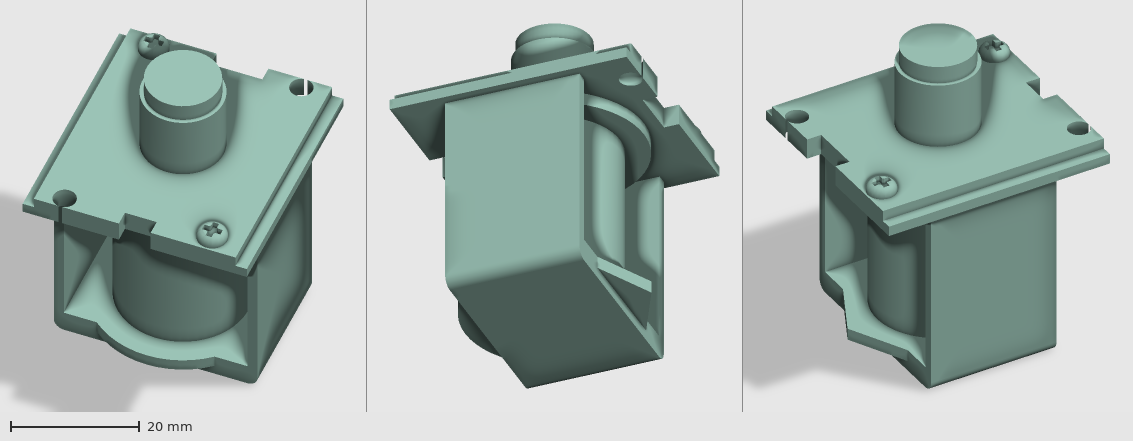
import cadquery as cq
import math

plate_length_x = 37.55
plate_length_y = 39.85
upper_length_x = 33.85
plate_bottom = 33.2
ledge_top = 34.95
plate_top = 36.8

notch_depth = 2.5
front_notch_width = 5.35
rear_notch_width = 8.65
rear_notch_x = 1.9
hole_radius = 1.9
hole_x = 12.5
hole_y = 18.05

bracket_length_x = 34.15
bracket_length_y = 22.6
wall_thickness = 1.7
floor_top = 3.8
corner_radius = 1.75

tongue_bottom = 1.75
rear_tip_y = 16.3

flange_radius = 15.0
flange_bottom = 31.15
body_radius = 10.95
stem_radius = 6.75
stem_top = 48.25
cap_radius = 6.1
overall_height = 51.25

screw_x = 11.9
screw_y = 17.15
head_radius = 2.45
head_height = 1.7
head_rim_height = 0.25
head_flat_radius = 1.45
recess_length = 3.1
recess_width = 1.0
recess_core = 1.75
recess_depth = 1.15


def block(length_x, length_y, bottom, top, x=0, y=0):
    """Box centred on (x, y) between two heights."""
    box = cq.Workplane("XY").box(length_x, length_y, top - bottom, centered=(True, True, False))
    return box.translate((x, y, bottom))


def cylinder(radius, bottom, top, x=0, y=0):
    """Vertical cylinder between two heights."""
    return cq.Workplane("XY").circle(radius).extrude(top - bottom).translate((x, y, bottom))


def make_plate():
    plate = block(plate_length_x, plate_length_y, plate_bottom, ledge_top)
    plate = plate.union(block(upper_length_x, plate_length_y, ledge_top, plate_top))
    edge_y = plate_length_y / 2
    for width, x, y in (
        (front_notch_width, 0, -edge_y),
        (rear_notch_width, rear_notch_x, edge_y),
    ):
        plate = plate.cut(block(width, 2 * notch_depth, plate_bottom, plate_top, x, y))
    for side in (-1, 1):
        plate = plate.cut(cylinder(hole_radius, plate_bottom, plate_top, side * hole_x, side * hole_y))
    return plate


def make_bracket():
    outer = block(bracket_length_x, bracket_length_y, 0, plate_bottom)
    outer = outer.edges("|Y and <Z").fillet(corner_radius)
    inner_length = bracket_length_x - 2 * wall_thickness
    return outer.cut(block(inner_length, bracket_length_y, floor_top, plate_bottom))


def make_tongues():
    """Rounded tongue at the front of the floor and a pointed one at the rear."""
    edge_y = bracket_length_y / 2
    half_chord = math.sqrt(flange_radius**2 - edge_y**2)
    outline = (
        cq.Workplane("XY", origin=(0, 0, tongue_bottom))
        .moveTo(-half_chord, -edge_y)
        .threePointArc((0, -flange_radius), (half_chord, -edge_y))
        .lineTo(half_chord, edge_y)
        .lineTo(0, rear_tip_y)
        .lineTo(-half_chord, edge_y)
        .close()
    )
    return outline.extrude(floor_top - tongue_bottom)


def make_core():
    core = cylinder(body_radius, floor_top, flange_bottom)
    core = core.union(cylinder(flange_radius, flange_bottom, plate_bottom))
    core = core.union(cylinder(stem_radius, plate_top, stem_top))
    return core.union(cylinder(cap_radius, stem_top, overall_height))


def make_screw_head():
    """Domed head standing on Z = 0 with a cross recess in its top."""
    dome_rise = head_height - head_rim_height
    dome_run = head_radius - head_flat_radius
    middle = math.sqrt(0.5)
    head = (
        cq.Workplane("XZ")
        .lineTo(head_radius, 0)
        .lineTo(head_radius, head_rim_height)
        .threePointArc(
            (head_flat_radius + dome_run * middle, head_rim_height + dome_rise * middle),
            (head_flat_radius, head_height),
        )
        .lineTo(0, head_height)
        .close()
        .revolve(360, (0, 0, 0), (0, 1, 0))
    )
    recess_floor = head_height - recess_depth
    recess = block(recess_length, recess_width, recess_floor, head_height)
    recess = recess.union(block(recess_width, recess_length, recess_floor, head_height))
    core = block(recess_core, recess_core, recess_floor, head_height)
    recess = recess.union(core.rotate((0, 0, 0), (0, 0, 1), 45))
    return head.cut(recess)


result = make_plate().union(make_bracket()).union(make_tongues()).union(make_core())
for side in (-1, 1):
    result = result.union(make_screw_head().translate((side * screw_x, -side * screw_y, plate_top)))